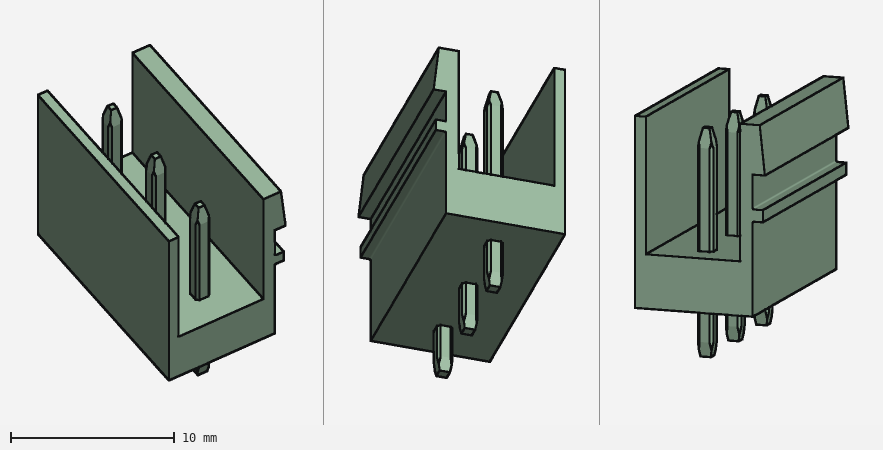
import cadquery as cq

total_height = 15.2
housing_length = 15.0
pin_tail = 3.2
housing_height = total_height - pin_tail

housing_depth = 7.65
front_wall = 0.7
rear_wall = 0.82
floor_thickness = 3.4

latch_reach = 8.44
latch_top_reach = 8.1
latch_height = 3.12

rib_reach = 8.3
rib_bottom = 5.95
rib_thickness = 0.76
rib_root_radius = 0.1

pin_count = 3
pin_pitch = 5.0
pin_y = 3.8
pin_width = 1.0
pin_corner_chamfer = 0.18
pin_top = housing_height - 0.95
upper_tip_length = 1.22
upper_tip_width = 0.43
lower_tip_length = 0.93
lower_tip_width = 0.67

pin_positions = [(i - (pin_count - 1) / 2) * pin_pitch for i in range(pin_count)]


def square_taper(base_z, base_width, end_width, height):
    """Square frustum rising from base_z."""
    return (
        cq.Workplane("XY")
        .workplane(offset=base_z)
        .rect(base_width, base_width)
        .workplane(offset=height)
        .rect(end_width, end_width)
        .loft(ruled=True)
    )


def chamfered_bar(bottom, top):
    """Square bar with its four long edges chamfered."""
    return (
        cq.Workplane("XY")
        .workplane(offset=bottom)
        .rect(pin_width, pin_width)
        .extrude(top - bottom)
        .edges("|Z")
        .chamfer(pin_corner_chamfer)
    )


def make_pin(x):
    """Chamfered bar whose two ends narrow to blunt square tips."""
    lower_shoulder = -pin_tail + lower_tip_length
    upper_shoulder = pin_top - upper_tip_length
    shaft = (
        cq.Workplane("XY")
        .workplane(offset=lower_shoulder)
        .rect(pin_width, pin_width)
        .extrude(upper_shoulder - lower_shoulder)
    )
    lower_tip = square_taper(-pin_tail, lower_tip_width, pin_width, lower_tip_length)
    upper_tip = square_taper(upper_shoulder, pin_width, upper_tip_width, upper_tip_length)
    tapered_bar = shaft.union(lower_tip).union(upper_tip)
    pin = tapered_bar.intersect(chamfered_bar(-pin_tail, pin_top))
    return pin.translate((x, pin_y, 0))


def make_channel():
    """U-shaped channel, with the latch and rib on its rear wall."""
    rib_top = rib_bottom + rib_thickness
    inner_rear = housing_depth - rear_wall
    outline = [
        (0, 0),
        (housing_depth, 0),
        (housing_depth, rib_bottom),
        (rib_reach, rib_bottom),
        (rib_reach, rib_top),
        (housing_depth, rib_top),
        (housing_depth, housing_height - latch_height),
        (latch_reach, housing_height - latch_height),
        (latch_top_reach, housing_height),
        (inner_rear, housing_height),
        (inner_rear, floor_thickness),
        (front_wall, floor_thickness),
        (front_wall, housing_height),
        (0, housing_height),
    ]
    channel = cq.Workplane("YZ").polyline(outline).close().extrude(housing_length / 2, both=True)
    rib_roots = channel.edges(cq.selectors.NearestToPointSelector((0, housing_depth, rib_bottom)))
    rib_roots = rib_roots.add(
        channel.edges(cq.selectors.NearestToPointSelector((0, housing_depth, rib_top)))
    )
    return rib_roots.fillet(rib_root_radius)


def make_housing():
    """Channel with a matching through hole in its floor for every pin."""
    housing = make_channel()
    for x in pin_positions:
        pin_hole = chamfered_bar(0, floor_thickness).translate((x, pin_y, 0))
        housing = housing.cut(pin_hole)
    return housing


housing = make_housing()
pins = [make_pin(x) for x in pin_positions]

result = cq.Compound.makeCompound([housing.solids().val(), *[pin.solids().val() for pin in pins]])